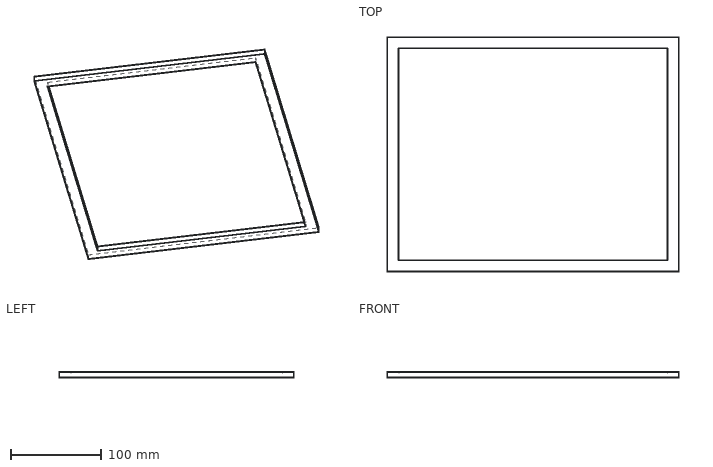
import cadquery as cq

frame_length = 323.85
frame_width = 260.35
frame_thickness = 6.35
border_width = 12.7

opening_length = frame_length - 2 * border_width
opening_width = frame_width - 2 * border_width

result = (
    cq.Workplane("XY")
    .rect(frame_length, frame_width)
    .rect(opening_length, opening_width)
    .extrude(frame_thickness)
)